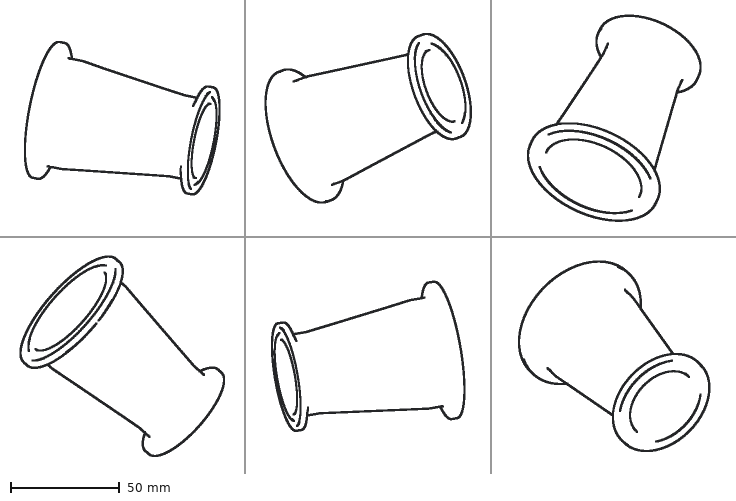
import cadquery as cq
import math

LENGTH = 76.2
FERRULE_LENGTH = LENGTH / 6
RIM_THICKNESS = 2.8
FLANGE_BACK_ANGLE = math.radians(20)
NECK_FILLET = 1.15
EDGE_ROUND = 0.3

LARGE_FLANGE_DIAMETER = 63.9
LARGE_TUBE_DIAMETER = 50.8
LARGE_BORE_DIAMETER = 47.5

SMALL_FLANGE_DIAMETER = 50.4
SMALL_TUBE_DIAMETER = 38.1
SMALL_BORE_DIAMETER = 34.8

LARGE_GROOVE_DIAMETER = 56.4
SMALL_GROOVE_DIAMETER = 43.7
GROOVE_DEPTH = 1.2
GROOVE_FLOOR_RADIUS = 1.3
GROOVE_LIP_RADIUS = 0.45
GROOVE_FLANK_ANGLE = math.radians(55)


def ring_edges_at(x):
    """Selector for the circular edges lying in the plane at the given X."""
    tolerance = 0.1
    reach = LARGE_FLANGE_DIAMETER
    return cq.selectors.BoxSelector(
        (x - tolerance, -reach, -reach), (x + tolerance, reach, reach), boundingbox=True
    )


def ferrule(flange_diameter, tube_diameter, bore_diameter, groove_diameter):
    """Clamp ferrule along +X with its sealing face at X = 0."""
    flange_radius = flange_diameter / 2
    tube_radius = tube_diameter / 2
    bore_radius = bore_diameter / 2

    neck_x = RIM_THICKNESS + (flange_radius - tube_radius) * math.tan(FLANGE_BACK_ANGLE)
    body = (
        cq.Workplane("XY")
        .moveTo(0, bore_radius)
        .lineTo(0, flange_radius)
        .lineTo(RIM_THICKNESS, flange_radius)
        .lineTo(neck_x, tube_radius)
        .lineTo(FERRULE_LENGTH, tube_radius)
        .lineTo(FERRULE_LENGTH, bore_radius)
        .close()
        .revolve(360, (0, 0, 0), (1, 0, 0))
    )
    neck_edge = ring_edges_at(neck_x)
    face_edges = ring_edges_at(0)
    rim_back_edge = ring_edges_at(RIM_THICKNESS)
    body = body.edges(neck_edge).fillet(NECK_FILLET)
    body = body.edges(face_edges + rim_back_edge).fillet(EDGE_ROUND)
    return body.cut(gasket_groove(groove_diameter / 2))


def gasket_groove(center_radius):
    """Ring cutter: round floor, sloping flanks and rounded lips, all tangent to each other."""
    sine = math.sin(GROOVE_FLANK_ANGLE)
    cosine = math.cos(GROOVE_FLANK_ANGLE)
    lip_depth = GROOVE_LIP_RADIUS * (1 - cosine)
    floor_edge_depth = GROOVE_DEPTH - GROOVE_FLOOR_RADIUS * (1 - cosine)

    floor_offset = GROOVE_FLOOR_RADIUS * sine
    flank_offset = floor_offset + (floor_edge_depth - lip_depth) / math.tan(GROOVE_FLANK_ANGLE)
    face_offset = flank_offset + GROOVE_LIP_RADIUS * sine

    half_angle = GROOVE_FLANK_ANGLE / 2
    lip_middle_depth = GROOVE_LIP_RADIUS * (1 - math.cos(half_angle))
    lip_middle_offset = face_offset - GROOVE_LIP_RADIUS * math.sin(half_angle)

    def inner(depth, offset):
        return (depth, center_radius - offset)

    def outer(depth, offset):
        return (depth, center_radius + offset)

    return (
        cq.Workplane("XY")
        .moveTo(*inner(0, face_offset))
        .threePointArc(inner(lip_middle_depth, lip_middle_offset), inner(lip_depth, flank_offset))
        .lineTo(*inner(floor_edge_depth, floor_offset))
        .threePointArc((GROOVE_DEPTH, center_radius), outer(floor_edge_depth, floor_offset))
        .lineTo(*outer(lip_depth, flank_offset))
        .threePointArc(outer(lip_middle_depth, lip_middle_offset), outer(0, face_offset))
        .close()
        .revolve(360, (0, 0, 0), (1, 0, 0))
    )


def conical_tube():
    """Tapered tube between the inner ends of the two ferrules."""
    large_end = FERRULE_LENGTH
    small_end = LENGTH - FERRULE_LENGTH
    return (
        cq.Workplane("XY")
        .moveTo(large_end, LARGE_BORE_DIAMETER / 2)
        .lineTo(large_end, LARGE_TUBE_DIAMETER / 2)
        .lineTo(small_end, SMALL_TUBE_DIAMETER / 2)
        .lineTo(small_end, SMALL_BORE_DIAMETER / 2)
        .close()
        .revolve(360, (0, 0, 0), (1, 0, 0))
    )


large_ferrule = ferrule(
    LARGE_FLANGE_DIAMETER, LARGE_TUBE_DIAMETER, LARGE_BORE_DIAMETER, LARGE_GROOVE_DIAMETER
)
small_ferrule = (
    ferrule(SMALL_FLANGE_DIAMETER, SMALL_TUBE_DIAMETER, SMALL_BORE_DIAMETER, SMALL_GROOVE_DIAMETER)
    .mirror("YZ")
    .translate((LENGTH, 0, 0))
)

result = large_ferrule.union(conical_tube()).union(small_ferrule)